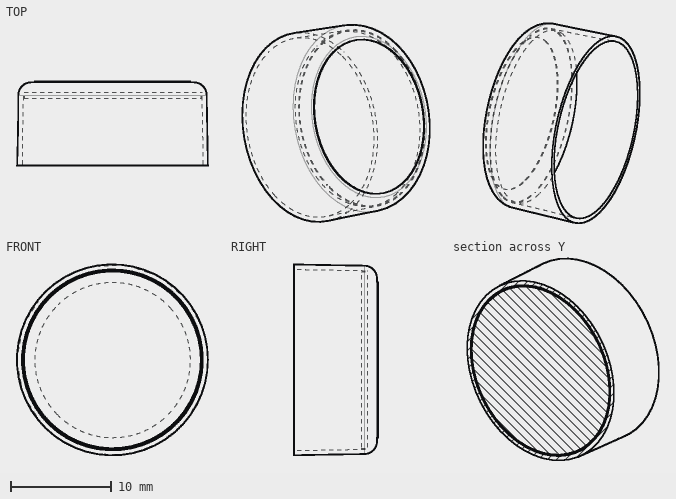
import cadquery as cq
import math

rim_diameter = 19.05
overall_length = 8.4
rim_y = -overall_length / 2

rim_radius = rim_diameter / 2
rim_wall = 0.5
draft_slope = math.tan(math.radians(1.0))
corner_radius = 1.3
pad_radius = 7.75
pad_height = 0.1
end_wall = 1.0
cap_length = overall_length - pad_height
cavity_radius = rim_radius - rim_wall
cavity_depth = cap_length - end_wall

liner_radius = 8.8
liner_thickness = 0.6


def drafted_plug(rim_plane_radius, length):
    """Solid that stands on the rim plane and narrows by the draft toward +Y."""
    end_radius = rim_plane_radius - length * draft_slope
    end_y = rim_y + length
    profile = cq.Workplane("XY").moveTo(0, rim_y).lineTo(rim_plane_radius, rim_y)
    profile = profile.lineTo(end_radius, end_y).lineTo(0, end_y).close()
    return profile.revolve(360, (0, 0, 0), (0, 1, 0))


def disc(radius, thickness, back_y):
    """Flat disc on the cap's axis whose back face lies at back_y."""
    return cq.Workplane("XZ", origin=(0, back_y, 0)).circle(radius).extrude(thickness)


def make_cap():
    """Drafted cup with a rounded closed end and a low round pad on its back."""
    outside = drafted_plug(rim_radius, cap_length).faces(">Y").edges().fillet(corner_radius)
    pad = disc(pad_radius, pad_height, rim_y + overall_length)
    cavity = drafted_plug(cavity_radius, cavity_depth)
    return outside.union(pad).cut(cavity)


def make_liner():
    """Sealing disc resting on the cavity floor, with a small gap to the cap wall."""
    return disc(liner_radius, liner_thickness, rim_y + cavity_depth)


cap = make_cap()
liner = make_liner()

result = cq.Compound.makeCompound([cap.val(), liner.val()])